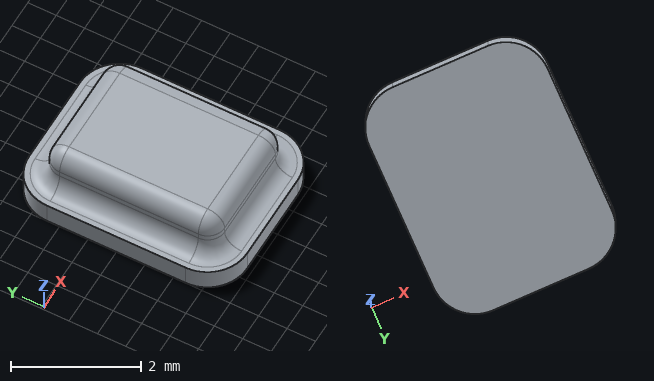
import cadquery as cq

length = 3.83
width = 3.0
total_height = 1.1
base_height = 0.4

rim = 0.1
blend_radius = 0.3
inset = rim + blend_radius
base_corner_radius = inset + blend_radius
block_width = width - 2 * inset
block_length = length - 2 * inset
block_height = total_height - base_height


def make_base():
    """Flat plate with rounded vertical corners, resting on Z = 0."""
    plate = cq.Workplane("XY").box(width, length, base_height, centered=(True, True, False))
    return plate.edges("|Z").fillet(base_corner_radius)


def make_block():
    """Block whose vertical and top edges share one radius, giving spherical corners."""
    block = cq.Workplane("XY", origin=(0, 0, base_height)).box(
        block_width, block_length, block_height, centered=(True, True, False)
    )
    return block.edges("|Z or >Z").fillet(blend_radius)


def blend_foot(body):
    """Concave fillet where the block walls meet the top of the base."""
    margin = rim / 2
    foot_zone = cq.selectors.BoxSelector(
        (-block_width / 2 - margin, -block_length / 2 - margin, base_height - margin),
        (block_width / 2 + margin, block_length / 2 + margin, base_height + margin),
        boundingbox=True,
    )
    return body.edges(foot_zone).fillet(blend_radius)


result = blend_foot(make_base().union(make_block()))